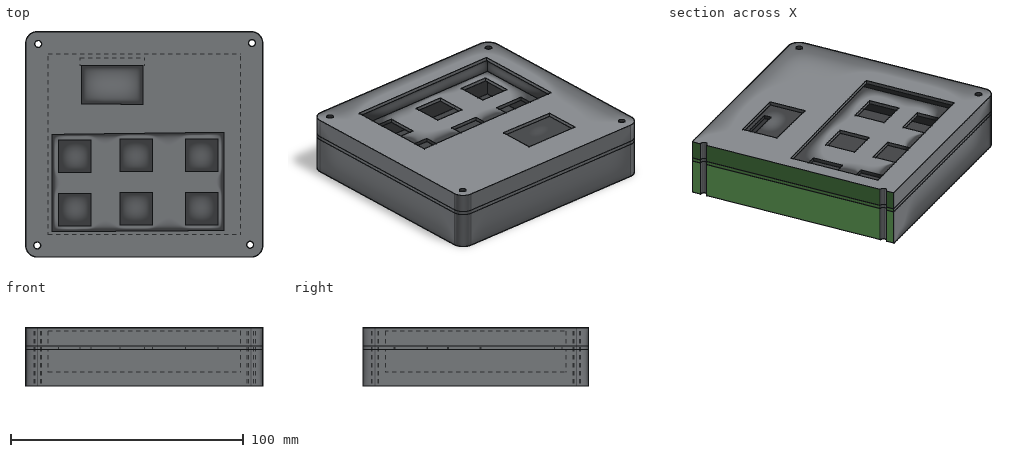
import cadquery as cq

length = 102.0
width = 97.0
corner_radius = 5.1
base_height = 15.7
plate_thickness = 1.5
total_height = 25.2
lid_height = total_height - base_height - plate_thickness
plate_bottom = base_height
lid_bottom = base_height + plate_thickness

rim_width = 9.7
lid_skin = 1.5
base_floor = 6.1

screw_hole_diameter = 2.9
screw_positions = [(-45.6, 43.1), (46.3, 43.6), (-46.0, -43.5), (45.5, -43.1)]

display_window = [(-26.9, 33.9), (-0.6, 33.9), (-0.6, 17.1), (-26.9, 17.4)]
keypad_window = [(-39.6, 4.3), (34.3, 5.2), (34.3, -37.0), (-39.6, -37.5)]

key_hole_size = 14.0
key_rows = 2
key_row_pitch = 23.0
key_column_tops = [(-29.8, -5.1), (-3.5, -4.7), (24.8, -4.7)]

slot_overhang = 0.7
slot_width = 3.2
slot_left = display_window[0][0] - slot_overhang
slot_right = display_window[1][0] + slot_overhang
slot_front = display_window[0][1]


def rounded_block(bottom, height):
    return (
        cq.Workplane("XY", origin=(0, 0, bottom))
        .rect(length, width)
        .extrude(height)
        .edges("|Z")
        .fillet(corner_radius)
    )


def cavity(bottom, height):
    return (
        cq.Workplane("XY", origin=(0, 0, bottom))
        .rect(length - 2 * rim_width, width - 2 * rim_width)
        .extrude(height)
    )


def screw_holes():
    return (
        cq.Workplane("XY")
        .pushPoints(screw_positions)
        .circle(screw_hole_diameter / 2)
        .extrude(total_height)
    )


def make_base():
    hollow = cavity(base_floor, base_height - base_floor)
    return rounded_block(0, base_height).cut(hollow).cut(screw_holes())


def make_plate():
    plate = rounded_block(plate_bottom, plate_thickness).cut(screw_holes())
    key_centers = [
        (x, y - row * key_row_pitch) for x, y in key_column_tops for row in range(key_rows)
    ]
    key_holes = (
        cq.Workplane("XY", origin=(0, 0, plate_bottom))
        .pushPoints(key_centers)
        .rect(key_hole_size, key_hole_size)
        .extrude(plate_thickness)
    )
    slot = (
        cq.Workplane("XY", origin=(slot_left, slot_front, plate_bottom))
        .rect(slot_right - slot_left, slot_width, centered=False)
        .extrude(plate_thickness)
    )
    return plate.cut(key_holes).cut(slot)


def make_lid():
    lid = rounded_block(lid_bottom, lid_height).cut(screw_holes())
    lid = lid.cut(cavity(lid_bottom, lid_height - lid_skin))
    for outline in (display_window, keypad_window):
        window = (
            cq.Workplane("XY", origin=(0, 0, lid_bottom))
            .polyline(outline)
            .close()
            .extrude(lid_height)
        )
        lid = lid.cut(window)
    return lid


base = make_base()
plate = make_plate()
lid = make_lid()
result = cq.Compound.makeCompound([base.val(), plate.val(), lid.val()])